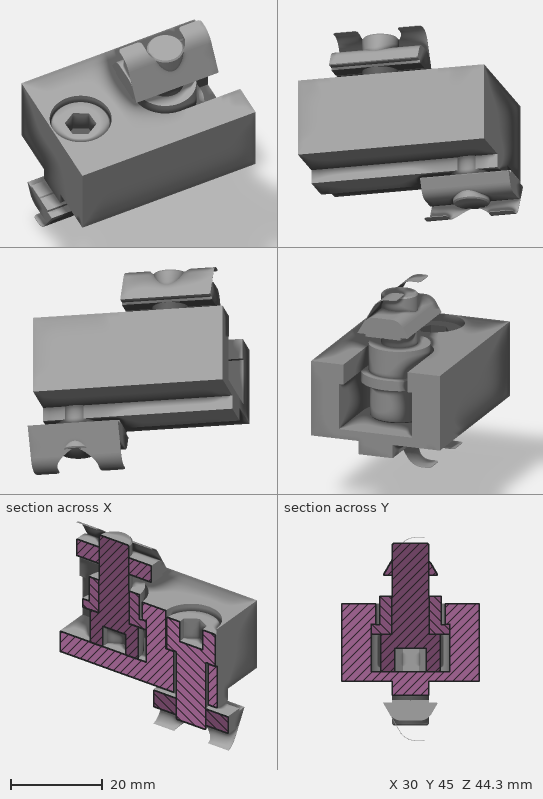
import cadquery as cq
import math


BLOCK_WIDTH = 30.0
BLOCK_LENGTH = 42.0
BLOCK_HEIGHT = 17.0
KEY_WIDTH = 8.0
KEY_HEIGHT = 3.0

NUT_LENGTH = 20.0
NUT_WIDTH = 12.0
NUT_HEIGHT = 4.5
NUT_OVERHANG = 3.0
LIP_WIDTH = 8.05
LIP_HEIGHT = 0.6
FLANK_ANGLE = math.radians(60)
SHOULDER_RADIUS = 3.0
TIP_BEVEL = 0.2
MARK_DEPTH = 0.22
LEAF_HEIGHT = 8.9
LEAF_THICKNESS = 0.112
LEAF_BEND_RADIUS = 4.0
LEAF_END_X = -3.0
LEAF_ROOT = 2.25
LEAF_CORNER_RADIUS = 0.8
LEAF_OPENING_HALF_WIDTH = 4.55
LEAF_OPENING_REACH = 5.05

SHANK_DIAMETER = 8.0
TIP_CHAMFER = 0.3
HEAD_DIAMETER = 13.0
HEAD_HEIGHT = 8.0
HEAD_CHAMFER = 0.25
HEX_WIDTH = 6.0
HEX_DEPTH = 5.0
HEX_TURN = -2.5

COLLAR_DIAMETER = 13.5
COLLAR_RISE = 1.6
FLANGE_DIAMETER = 17.0
FLANGE_THICKNESS = 2.25

LOWER_Y = NUT_LENGTH / 2 - NUT_OVERHANG
LOWER_NUT_GAP = 3.95
LOWER_TIP_REACH = 9.55
LOWER_HEAD_DEPTH = 1.55
COUNTERBORE_DIAMETER = 13.5
COUNTERBORE_DEPTH = LOWER_HEAD_DEPTH + HEAD_HEIGHT
CLEARANCE_DIAMETER = 9.0

UPPER_Y = 27.5
UPPER_NUT_GAP = 5.5
UPPER_TIP_REACH = 13.1
SLOT_NECK_WIDTH = 15.0
SLOT_NECK_DEPTH = 4.55
UPPER_SEAT_DEPTH = SLOT_NECK_DEPTH + FLANGE_THICKNESS
SLOT_DEPTH = UPPER_SEAT_DEPTH + HEAD_HEIGHT


def round_ended_slot(width, top_z, depth):
    """Cutter open towards +Y, with its round end concentric with the upper screw."""
    run = BLOCK_LENGTH - UPPER_Y
    level = cq.Workplane("XY", origin=(0, UPPER_Y, top_z))
    straight = level.center(0, run / 2).rect(width, run).extrude(-depth)
    return straight.union(level.circle(width / 2).extrude(-depth))


def make_block():
    """Block with a key underneath, a T-slot at its +Y end and a counterbored hole."""
    body = (
        cq.Workplane("XY", origin=(0, BLOCK_LENGTH / 2, -BLOCK_HEIGHT))
        .rect(BLOCK_WIDTH, BLOCK_LENGTH)
        .extrude(BLOCK_HEIGHT)
    )
    key = (
        cq.Workplane("XY", origin=(0, BLOCK_LENGTH / 2, -BLOCK_HEIGHT))
        .rect(KEY_WIDTH, BLOCK_LENGTH)
        .extrude(-KEY_HEIGHT)
    )
    hole_top = cq.Workplane("XY", origin=(0, LOWER_Y, 0))
    counterbore = hole_top.circle(COUNTERBORE_DIAMETER / 2).extrude(-COUNTERBORE_DEPTH)
    clearance_hole = hole_top.circle(CLEARANCE_DIAMETER / 2).extrude(-BLOCK_HEIGHT - KEY_HEIGHT)
    slot_neck = round_ended_slot(SLOT_NECK_WIDTH, 0, SLOT_NECK_DEPTH)
    slot_foot = round_ended_slot(FLANGE_DIAMETER, -SLOT_NECK_DEPTH, SLOT_DEPTH - SLOT_NECK_DEPTH)
    return body.union(key).cut(counterbore).cut(clearance_hole).cut(slot_neck).cut(slot_foot)


def make_screw(shank_length):
    """Socket head screw pointing up, with the underside of its head at Z = 0."""
    head = (
        cq.Workplane("XY")
        .circle(HEAD_DIAMETER / 2)
        .extrude(-HEAD_HEIGHT)
        .faces("<Z")
        .chamfer(HEAD_CHAMFER)
    )
    shank = (
        cq.Workplane("XY")
        .circle(SHANK_DIAMETER / 2)
        .extrude(shank_length)
        .faces(">Z")
        .chamfer(TIP_CHAMFER)
    )
    hex_corners = HEX_WIDTH / math.cos(math.pi / 6)
    socket = (
        cq.Workplane("XY", origin=(0, 0, -HEAD_HEIGHT))
        .polygon(6, hex_corners)
        .extrude(HEX_DEPTH)
        .rotate((0, 0, 0), (0, 0, 1), HEX_TURN)
    )
    return head.union(shank).cut(socket)


def make_collar():
    """Flanged collar: the flange fills the foot of the slot and the collar rises through its neck."""
    flange = (
        cq.Workplane("XY", origin=(0, UPPER_Y, -SLOT_NECK_DEPTH))
        .circle(FLANGE_DIAMETER / 2)
        .extrude(-FLANGE_THICKNESS)
    )
    sleeve = (
        cq.Workplane("XY", origin=(0, UPPER_Y, -SLOT_NECK_DEPTH))
        .circle(COLLAR_DIAMETER / 2)
        .extrude(SLOT_NECK_DEPTH + COLLAR_RISE)
    )
    bore = (
        cq.Workplane("XY", origin=(0, UPPER_Y, -UPPER_SEAT_DEPTH))
        .circle(SHANK_DIAMETER / 2)
        .extrude(UPPER_SEAT_DEPTH + COLLAR_RISE)
    )
    return flange.union(sleeve).cut(bore)


def flank_x(height):
    """X of the +X flank at a height above the lip face."""
    return NUT_WIDTH / 2 - (height - LIP_HEIGHT) / math.tan(FLANK_ANGLE)


BEND_Z = LEAF_HEIGHT - LEAF_BEND_RADIUS
BEND_EXIT_Z = BEND_Z + LEAF_BEND_RADIUS * math.cos(FLANK_ANGLE)
BEND_EXIT_X = flank_x(BEND_EXIT_Z)
BEND_X = BEND_EXIT_X - LEAF_BEND_RADIUS * math.sin(FLANK_ANGLE)


def make_nut_body():
    """Nut with sloping flanks, round shoulders and a marked lip; the lip face is at Z = 0."""
    half_length = NUT_LENGTH / 2
    half_width = NUT_WIDTH / 2
    half_lip = LIP_WIDTH / 2
    half_top = flank_x(NUT_HEIGHT)
    bevel_rise_x = TIP_BEVEL / math.tan(FLANK_ANGLE)
    section = (
        cq.Workplane("XZ", origin=(0, half_length, 0))
        .moveTo(-half_lip, 0)
        .lineTo(-MARK_DEPTH, 0)
        .lineTo(0, MARK_DEPTH)
        .lineTo(MARK_DEPTH, 0)
        .lineTo(half_lip, 0)
        .lineTo(half_lip, LIP_HEIGHT)
        .lineTo(half_width, LIP_HEIGHT)
        .lineTo(half_top, NUT_HEIGHT)
        .lineTo(-half_top, NUT_HEIGHT)
        .lineTo(-half_width + bevel_rise_x, LIP_HEIGHT + TIP_BEVEL)
        .lineTo(-half_width + TIP_BEVEL + bevel_rise_x, LIP_HEIGHT)
        .lineTo(-half_lip, LIP_HEIGHT)
        .close()
    )
    return section.extrude(NUT_LENGTH).edges("|Y and >Z").fillet(SHOULDER_RADIUS)


def bend_point(radius, angle):
    """Point of the bend at an angle from its top towards the flank."""
    return (BEND_X + radius * math.sin(angle), BEND_Z + radius * math.cos(angle))


def unbent_to_x(distance):
    """X of a point of the bent leaf that lay at X = distance when the leaf was flat."""
    along_bend = max(distance - BEND_X, 0)
    bend_angle = min(along_bend / LEAF_BEND_RADIUS, FLANK_ANGLE)
    along_flank = along_bend - bend_angle * LEAF_BEND_RADIUS
    return BEND_X + LEAF_BEND_RADIUS * math.sin(bend_angle) + along_flank * math.cos(FLANK_ANGLE)


def make_leaf_opening():
    """Cutter for the screw opening: straight to the leaf's free end, a parabola towards the flank."""
    steps = 6
    fractions = [i / steps for i in range(-steps, steps + 1)]
    rim = [
        (unbent_to_x(LEAF_OPENING_REACH * math.sqrt(1 - abs(f))), LEAF_OPENING_HALF_WIDTH * f)
        for f in fractions
    ]
    return (
        cq.Workplane("XY")
        .moveTo(LEAF_END_X, -LEAF_OPENING_HALF_WIDTH)
        .lineTo(*rim[0])
        .spline(rim[1:], includeCurrent=True)
        .lineTo(LEAF_END_X, LEAF_OPENING_HALF_WIDTH)
        .close()
        .extrude(LEAF_HEIGHT)
    )


def make_leaf():
    """Thin leaf that continues the +X flank upwards, bends over and ends in two tabs."""
    inner_radius = LEAF_BEND_RADIUS - LEAF_THICKNESS
    root_z = LIP_HEIGHT + LEAF_ROOT
    root_x = flank_x(root_z)
    inset_x = LEAF_THICKNESS * math.sin(FLANK_ANGLE)
    inset_z = LEAF_THICKNESS * math.cos(FLANK_ANGLE)
    strip = (
        cq.Workplane("XZ", origin=(0, NUT_LENGTH / 2, 0))
        .moveTo(LEAF_END_X, LEAF_HEIGHT)
        .lineTo(BEND_X, LEAF_HEIGHT)
        .threePointArc(bend_point(LEAF_BEND_RADIUS, FLANK_ANGLE / 2), (BEND_EXIT_X, BEND_EXIT_Z))
        .lineTo(root_x, root_z)
        .lineTo(root_x - inset_x, root_z - inset_z)
        .lineTo(*bend_point(inner_radius, FLANK_ANGLE))
        .threePointArc(bend_point(inner_radius, FLANK_ANGLE / 2), bend_point(inner_radius, 0))
        .lineTo(LEAF_END_X, LEAF_HEIGHT - LEAF_THICKNESS)
        .close()
        .extrude(NUT_LENGTH)
    )
    return strip.cut(make_leaf_opening()).edges("|Z and <X").fillet(LEAF_CORNER_RADIUS)


def make_nut(screw_reach):
    """Slot nut with its spring leaf on top, bored for a screw that ends at the given height."""
    bore = cq.Workplane("XY").circle(SHANK_DIAMETER / 2).extrude(screw_reach)
    return make_nut_body().union(make_leaf()).cut(bore)


def upper_place(part, z):
    """Part moved to the upper screw's axis, pointing up from height z."""
    return part.translate((0, UPPER_Y, z))


def lower_place(part, z):
    """Part turned over and moved to the lower screw's axis, pointing down from height z."""
    return part.rotate((0, 0, 0), (1, 0, 0), 180).translate((0, LOWER_Y, z))


block = make_block()
collar = make_collar()

upper_screw = upper_place(make_screw(UPPER_SEAT_DEPTH + UPPER_TIP_REACH), -UPPER_SEAT_DEPTH)
lower_shank_length = BLOCK_HEIGHT + LOWER_TIP_REACH - COUNTERBORE_DEPTH
lower_screw = lower_place(make_screw(lower_shank_length), -COUNTERBORE_DEPTH)

upper_nut = upper_place(make_nut(UPPER_TIP_REACH - UPPER_NUT_GAP), UPPER_NUT_GAP)
lower_nut = lower_place(make_nut(LOWER_TIP_REACH - LOWER_NUT_GAP), -BLOCK_HEIGHT - LOWER_NUT_GAP)

bodies = [block, collar, upper_screw, lower_screw, upper_nut, lower_nut]
result = cq.Compound.makeCompound([body.solids().val() for body in bodies])